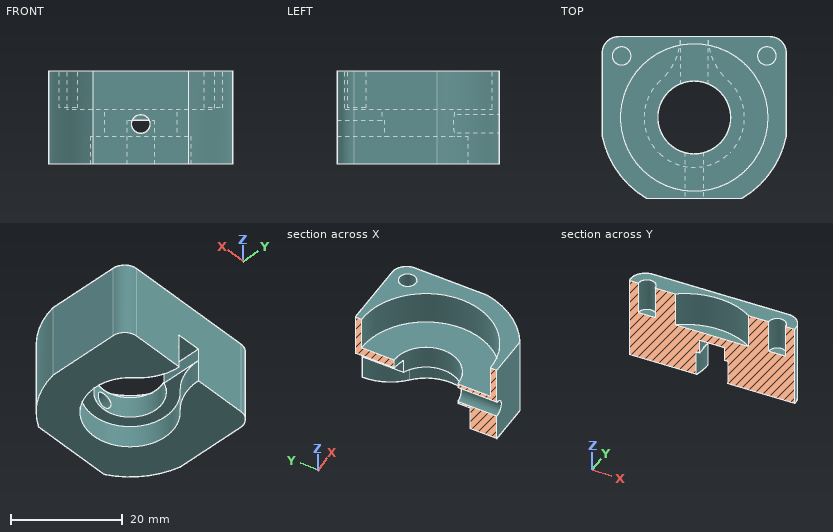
import cadquery as cq
import math

width = 33.0
depth = 29.0
height = 16.7
front_round_radius = 16.83
corner_radius = 2.97

pocket_diameter = 26.4
pocket_floor = 9.8
bore_diameter = 13.0

screw_diameter = 3.3
screw_depth = 6.6
screw_x = 13.0
screw_y = 11.02

side_hole_diameter = 3.3
side_hole_height = 7.2

slot_width = 4.98
slot_top = 7.82
cavity_top = 4.98
flare_center_x = 13.0

half_width = width / 2
back = depth / 2
front = -back


def make_body():
    """Square back with rounded corners; large arc at the front, cut by a flat."""
    arc_start_y = -math.sqrt(front_round_radius**2 - half_width**2)
    flat_half = math.sqrt(front_round_radius**2 - front**2)
    middle_angle = (math.atan2(arc_start_y, half_width) + math.atan2(front, flat_half)) / 2
    middle_x = front_round_radius * math.cos(middle_angle)
    middle_y = front_round_radius * math.sin(middle_angle)
    body = (
        cq.Workplane("XY")
        .moveTo(-half_width, back)
        .lineTo(half_width, back)
        .lineTo(half_width, arc_start_y)
        .threePointArc((middle_x, middle_y), (flat_half, front))
        .lineTo(-flat_half, front)
        .threePointArc((-middle_x, middle_y), (-half_width, arc_start_y))
        .close()
        .extrude(height)
    )
    return body.edges("|Z and >Y").fillet(corner_radius)


def make_cavity():
    """Round chamber joined to the back wall by convex arcs tangent to it and to the slot."""
    flare_radius = flare_center_x - slot_width / 2
    center_distance = math.hypot(flare_center_x, back)
    chamber_radius = center_distance - flare_radius
    tangent_x = chamber_radius * flare_center_x / center_distance
    tangent_y = chamber_radius * back / center_distance
    middle_angle = math.atan2(back, flare_center_x) / 2
    middle_x = flare_center_x - flare_radius * math.cos(middle_angle)
    middle_y = back - flare_radius * math.sin(middle_angle)
    return (
        cq.Workplane("XY")
        .moveTo(slot_width / 2, back)
        .threePointArc((middle_x, middle_y), (tangent_x, tangent_y))
        .threePointArc((0, -chamber_radius), (-tangent_x, tangent_y))
        .threePointArc((-middle_x, middle_y), (-slot_width / 2, back))
        .close()
        .extrude(cavity_top)
    )


def make_slot():
    """Rectangular opening from the bore axis out through the back wall."""
    return cq.Workplane("XY").box(slot_width, back, slot_top, centered=(True, False, False))


def make_side_hole():
    """Hole from the front flat to the bore axis."""
    return (
        cq.Workplane("XZ", origin=(0, 0, side_hole_height))
        .circle(side_hole_diameter / 2)
        .extrude(back)
    )


def make_screw_holes():
    return (
        cq.Workplane("XY", origin=(0, 0, height - screw_depth))
        .pushPoints([(-screw_x, screw_y), (screw_x, screw_y)])
        .circle(screw_diameter / 2)
        .extrude(screw_depth)
    )


bore = cq.Workplane("XY").circle(bore_diameter / 2).extrude(height)
pocket = (
    cq.Workplane("XY", origin=(0, 0, pocket_floor))
    .circle(pocket_diameter / 2)
    .extrude(height - pocket_floor)
)

result = make_body()
for cutter in (bore, pocket, make_cavity(), make_slot(), make_side_hole(), make_screw_holes()):
    result = result.cut(cutter)